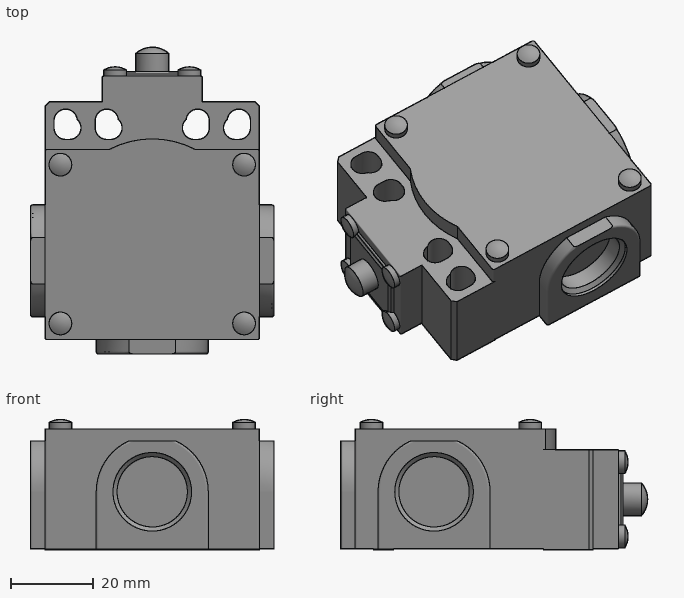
import cadquery as cq


half_width = 25.9
body_front_y = 3.5
cover_rear_y = 49.55
base_z = 0.2
cover_top_z = 29.3
corner_radius = 0.5

arch_half_width = 10.3
arch_rise = 2.5

flange_front_y = cover_rear_y - corner_radius
flange_rear_y = 61.1
flange_top_z = 24.2
flange_corner_chamfer = 1.05

foot_diameter = 4.9
foot_y = 10.3

head_half_width = 12.1
head_rear_y = 67.25
head_edge_radius = 0.2
head_center_z = (base_z + flange_top_z) / 2
head_half_height = (flange_top_z - base_z) / 2
gasket_rear_y = 67.75
gasket_edge_radius = 0.4
plate_rear_y = 68.35
plate_bevel = 0.5
gasket_half_size = 9.15

plunger_diameter = 8.0
plunger_shoulder_y = 72.75
plunger_tip_y = 74.3

cover_screw_diameter = 5.5
cover_screw_x = 22.2
cover_screw_rows_y = (7.4, 45.85)
cover_screw_shoulder_z = 30.8
cover_screw_top_z = 31.6
head_screw_diameter = 5.6
head_screw_offset = 9.0
head_screw_shoulder_y = 68.7
head_screw_top_y = 69.55

mount_hole_diameter = 5.6
mount_hole_columns_x = (11.0, 20.95)
mount_hole_rear_y = 56.5
mount_hole_front_y = 54.75
mount_hole_side_shift = 0.9

boss_reach = 3.6
boss_width = 27.1
boss_radius = boss_width / 2
boss_edge_radius = 0.6
boss_flat_z = 26.4
entry_center_z = 14.05
entry_diameter = 17.0
entry_mouth_diameter = 19.0
entry_mouth_depth = 0.75
entry_depth = 5.95
side_boss_y = 22.6


def box(x_range, y_range, z_range):
    """Box spanning the given (low, high) ranges."""
    sizes = [high - low for low, high in (x_range, y_range, z_range)]
    corner = (x_range[0], y_range[0], z_range[0])
    return cq.Workplane("XY").box(*sizes, centered=False).translate(corner)


def domed_pin(diameter, shoulder, tip):
    """Pin along +Z from the origin, with a spherical cap between shoulder and tip."""
    radius = diameter / 2
    rise = tip - shoulder
    cap_radius = (radius**2 + rise**2) / (2 * rise)
    mid_x = radius / 2
    mid_z = tip - cap_radius + (cap_radius**2 - mid_x**2) ** 0.5
    return (
        cq.Workplane("XZ")
        .lineTo(radius, 0)
        .lineTo(radius, shoulder)
        .threePointArc((mid_x, mid_z), (0, tip))
        .close()
        .revolve(360, (0, 0), (0, 1))
    )


def rearward_pin(diameter, start_y, shoulder_y, tip_y, x, z):
    """Domed pin pointing along +Y."""
    pin = domed_pin(diameter, shoulder_y - start_y, tip_y - start_y)
    return pin.rotate((0, 0, 0), (1, 0, 0), -90).translate((x, start_y, z))


def make_housing():
    block = box((-half_width, half_width), (body_front_y, cover_rear_y), (base_z, cover_top_z))
    block = block.edges("|Z").fillet(corner_radius)
    tongue = (
        cq.Workplane("XY", origin=(0, cover_rear_y, base_z))
        .moveTo(-arch_half_width, 0)
        .threePointArc((0, arch_rise), (arch_half_width, 0))
        .close()
        .extrude(cover_top_z - base_z)
    )
    flange = box((-half_width, half_width), (flange_front_y, flange_rear_y), (0, flange_top_z))
    flange = flange.edges("|Z and >Y").chamfer(flange_corner_chamfer)
    foot = cq.Workplane("XY").center(0, foot_y).circle(foot_diameter / 2).extrude(base_z)
    return block.union(flange).union(tongue).union(foot)


def head_block(x_half, z_half, rear_y):
    """Block centred on the plunger axis, reaching from the flange back to rear_y."""
    z_range = (head_center_z - z_half, head_center_z + z_half)
    return box((-x_half, x_half), (flange_rear_y, rear_y), z_range)


def make_head():
    """Switch head whose rear face carries a rounded gasket and a bevelled plate."""
    head = head_block(head_half_width, head_half_height, head_rear_y)
    head = head.faces(">Y").edges().fillet(head_edge_radius)
    gasket = head_block(gasket_half_size, gasket_half_size, gasket_rear_y)
    gasket = gasket.faces(">Y").edges().fillet(gasket_edge_radius)
    plate_half_size = gasket_half_size - gasket_edge_radius
    plate = head_block(plate_half_size, plate_half_size, plate_rear_y)
    plate = plate.faces(">Y").edges().chamfer(plate_bevel)
    return head.union(gasket).union(plate)


def make_boss():
    """Cable entry boss facing -Y, its back on the XZ plane and its arch centred on Z."""
    arch = cq.Workplane("XZ").center(0, entry_center_z).circle(boss_radius).extrude(boss_reach)
    legs = box((-boss_radius, boss_radius), (-boss_reach, 0), (base_z, entry_center_z))
    boss = arch.union(legs).faces("<Y").edges("not <Z").fillet(boss_edge_radius)
    return boss.intersect(
        box((-boss_radius, boss_radius), (-boss_reach, 0), (base_z, boss_flat_z))
    )


def make_entry():
    """Cutter for a blind cable entry: a wide mouth, a 45 degree cone and a narrower bore."""
    cone_depth = (entry_mouth_diameter - entry_diameter) / 2
    face = cq.Workplane("XZ", origin=(0, -boss_reach, entry_center_z))
    bore = face.circle(entry_diameter / 2).extrude(-entry_depth)
    mouth = face.circle(entry_mouth_diameter / 2).extrude(-entry_mouth_depth)
    cone = (
        face.workplane(offset=-entry_mouth_depth)
        .circle(entry_mouth_diameter / 2)
        .extrude(-cone_depth, taper=45)
    )
    return bore.union(mouth).union(cone)


def place_on_three_sides(shape):
    """Copies of a front-facing shape for the front, -X and +X walls."""
    front = shape.translate((0, boss_reach, 0))
    left = shape.rotate((0, 0, 0), (0, 0, 1), -90).translate((-half_width, side_boss_y, 0))
    return [front, left, left.mirror("YZ")]


def make_mounting_hole(column_x):
    """Cutter for one hole on the -X side."""
    lengthwise_length = mount_hole_rear_y - mount_hole_front_y + mount_hole_diameter
    sideways_length = mount_hole_side_shift + mount_hole_diameter
    lengthwise_y = (mount_hole_rear_y + mount_hole_front_y) / 2
    sideways_x = -column_x + mount_hole_side_shift / 2
    lengthwise = (
        cq.Workplane("XY")
        .center(-column_x, lengthwise_y)
        .slot2D(lengthwise_length, mount_hole_diameter, 90)
        .extrude(flange_top_z)
    )
    sideways = (
        cq.Workplane("XY")
        .center(sideways_x, mount_hole_front_y)
        .slot2D(sideways_length, mount_hole_diameter)
        .extrude(flange_top_z)
    )
    return lengthwise.union(sideways)


result = make_housing().union(make_head())

result = result.union(
    rearward_pin(
        plunger_diameter, flange_rear_y, plunger_shoulder_y, plunger_tip_y, 0, head_center_z
    )
)

for side in (-1, 1):
    for row_y in cover_screw_rows_y:
        screw = domed_pin(
            cover_screw_diameter, cover_screw_shoulder_z - base_z, cover_screw_top_z - base_z
        )
        result = result.union(screw.translate((side * cover_screw_x, row_y, base_z)))
    for level in (-1, 1):
        screw = rearward_pin(
            head_screw_diameter,
            flange_rear_y,
            head_screw_shoulder_y,
            head_screw_top_y,
            side * head_screw_offset,
            head_center_z + level * head_screw_offset,
        )
        result = result.union(screw)

for boss in place_on_three_sides(make_boss()):
    result = result.union(boss)
for entry in place_on_three_sides(make_entry()):
    result = result.cut(entry)

for column_x in mount_hole_columns_x:
    hole = make_mounting_hole(column_x)
    result = result.cut(hole).cut(hole.mirror("YZ"))